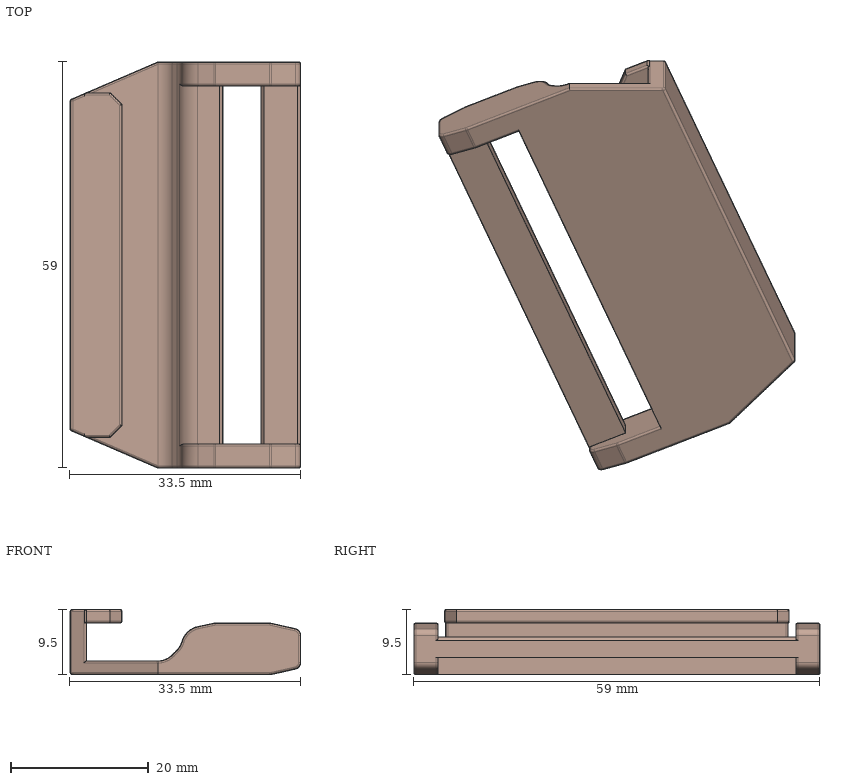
import cadquery as cq
import math

length = 33.5
width = 59.0
hook_height = 9.5

floor_thickness = 2.0
floor_end = 12.75
wall_thickness = 2.4
wall_half_width = 24.0
lip_thickness = 2.0
lip_reach = 7.5
lip_corner = 1.7

cheek_height = 7.5
cheek_thickness = 3.5
cheek_sweep_end = math.radians(74)
shoulder_x = 18.6
shoulder_height = 7.0
crown_start = 21.0
crown_end = 29.1
nose_drop = 1.0
nose_radius = 1.0
crown_blend_radius = 1.2

sweep_radius = 2.9
ramp_angle = math.radians(45)
ramp_length = 1.0

bar_top = 5.5
bar_bottom = 2.5
beam_sweep_end = math.radians(58)
beam_crown_start = 18.5
slot_start = 22.2
slot_end = 27.7
bar_edge_break = 0.5

edge_round = 0.3
wall_edge_round = 0.4

half_width = width / 2
cheek_inner = half_width - cheek_thickness
slant = (half_width - wall_half_width) / floor_end
lip_half_width = wall_half_width + slant * wall_thickness


def arc_point(start, start_angle, angle):
    """Point on the concave sweep where its direction has turned from start_angle to angle."""
    x = start[0] + sweep_radius * (math.sin(angle) - math.sin(start_angle))
    z = start[1] + sweep_radius * (math.cos(start_angle) - math.cos(angle))
    return (x, z)


def sweep_up(outline, end_angle):
    """Continue an outline from the floor end: concave arc, straight ramp, steeper concave arc."""
    foot = (floor_end, floor_thickness)
    ramp_start = arc_point(foot, 0, ramp_angle)
    ramp_end = (
        ramp_start[0] + ramp_length * math.cos(ramp_angle),
        ramp_start[1] + ramp_length * math.sin(ramp_angle),
    )
    middle_angle = (ramp_angle + end_angle) / 2
    return (
        outline.threePointArc(arc_point(foot, 0, ramp_angle / 2), ramp_start)
        .lineTo(*ramp_end)
        .threePointArc(
            arc_point(ramp_end, ramp_angle, middle_angle),
            arc_point(ramp_end, ramp_angle, end_angle),
        )
    )


def centred_box(x_start, x_end, y_half, z_start, z_end):
    """Box symmetric about the XZ plane."""
    return (
        cq.Workplane("XY", origin=(x_start, 0, z_start))
        .box(x_end - x_start, 2 * y_half, z_end - z_start, centered=(False, True, False))
    )


def cheek_blank():
    """Floor and cheek outline carried across the full width."""
    outline = cq.Workplane("XZ").lineTo(0, floor_thickness).lineTo(floor_end, floor_thickness)
    blank = (
        sweep_up(outline, cheek_sweep_end)
        .tangentArcPoint((shoulder_x, shoulder_height), relative=False)
        .lineTo(crown_start, cheek_height)
        .lineTo(crown_end, cheek_height)
        .lineTo(length, cheek_height - nose_drop)
        .lineTo(length, nose_drop)
        .lineTo(crown_end, 0)
        .close()
        .extrude(half_width, both=True)
    )
    crown_edges = cq.selectors.BoxSelector(
        (crown_start - edge_round, -width, -edge_round),
        (crown_end + edge_round, width, hook_height),
    )
    blank = blank.edges("|Y and >X").fillet(nose_radius)
    return blank.edges("|Y").edges(crown_edges).fillet(crown_blend_radius)


def wall():
    """Upright wall of the hook, before its ends are cut to the plan outline."""
    return centred_box(0, wall_thickness, half_width, 0, hook_height)


def lip():
    """Overhanging lip with cut corners; its root is sunk into the wall by one edge round."""
    root = wall_thickness - edge_round
    plate = centred_box(root, lip_reach, lip_half_width, hook_height - lip_thickness, hook_height)
    plate = plate.edges("|Z and >X").chamfer(lip_corner)
    return plate.faces("|Z").edges("not <X").fillet(edge_round).intersect(plan_prism())


def plan_prism():
    """Plan outline: the two low-X corners are cut back at a slant."""
    return (
        cq.Workplane("XY")
        .polyline([
            (0, -wall_half_width),
            (floor_end, -half_width),
            (length, -half_width),
            (length, half_width),
            (floor_end, half_width),
            (0, wall_half_width),
        ])
        .close()
        .extrude(hook_height)
    )


def front_beam():
    """Rounded beam between the cheeks, ahead of the slot."""
    outline = cq.Workplane("XZ").moveTo(floor_end, 0).lineTo(floor_end, floor_thickness)
    return (
        sweep_up(outline, beam_sweep_end)
        .tangentArcPoint((beam_crown_start, bar_top), relative=False)
        .lineTo(slot_start - bar_edge_break, bar_top)
        .lineTo(slot_start, bar_top - bar_edge_break)
        .lineTo(slot_start, 0)
        .close()
        .extrude(cheek_inner + edge_round, both=True)
    )


def rear_bar():
    """Bar behind the slot, raised off the underside of the cheeks."""
    bar = centred_box(slot_end, length, cheek_inner + edge_round, bar_bottom, bar_top)
    return bar.edges("|Y and >Z").chamfer(bar_edge_break)


def round_outer_edges(blank):
    """Round the long edges of the wall's outer face, then the outlines of both ends."""
    blank = blank.edges("|Y and <X").fillet(wall_edge_round)
    corner_height = floor_thickness / 2
    corner = cq.selectors.BoxSelector(
        (floor_end - edge_round, -width, corner_height - edge_round),
        (floor_end + edge_round, width, corner_height + edge_round),
    )
    ends = blank.faces("|Y")
    for side in (1, -1):
        ends = ends.add(blank.faces(cq.selectors.ParallelDirSelector(cq.Vector(-slant, side, 0))))
    outlines = ends.edges(cq.selectors.InverseSelector(corner))
    return outlines.fillet(edge_round)


def round_cheek_inner_edges(shell):
    """Round the outlines of the cheek faces that look at each other."""
    inner_faces = cq.selectors.BoxSelector(
        (floor_end + edge_round, -cheek_inner - edge_round, 0),
        (length, cheek_inner + edge_round, hook_height),
    )
    return shell.faces("|Y").faces(inner_faces).edges("not <X").fillet(edge_round)


shell = round_outer_edges(cheek_blank().union(wall()).intersect(plan_prism()))
shell = shell.cut(centred_box(floor_end, length, cheek_inner, 0, hook_height))
shell = round_cheek_inner_edges(shell)
result = shell.union(lip()).union(front_beam()).union(rear_bar())